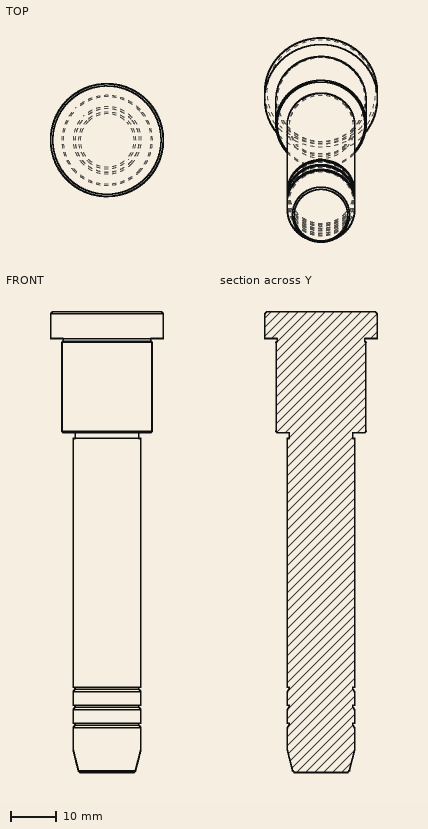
import cadquery as cq

length = 102.0
head_radius = 25.0 / 2
head_height = 6.0
edge_chamfer = 0.5

collar_radius = 10.0
collar_bottom = 75.2
undercut_depth = 0.3
undercut_height = 0.5
collar_chamfer = 0.3

shank_radius = 15.0 / 2
shank_top = 74.0
neck_radius = 7.0

taper_height = 5.0
tip_radius = 6.3
tip_chamfer = 0.4

groove_count = 3
groove_pitch = 4.0
groove_depth = 0.4
groove_floor = 0.4
groove_slope = 0.5
lowest_groove_bottom = 10.0
cutter_margin = 1.0


def cylinder(radius, bottom, top):
    return cq.Workplane("XY").workplane(offset=bottom).circle(radius).extrude(top - bottom)


def make_head():
    head = cylinder(head_radius, length - head_height, length)
    return head.faces(">Z").chamfer(edge_chamfer)


def make_collar():
    head_bottom = length - head_height
    collar_top = head_bottom - undercut_height
    undercut = cylinder(collar_radius - undercut_depth, collar_top, head_bottom)
    collar = cylinder(collar_radius, collar_bottom, collar_top)
    return collar.faces("<Z or >Z").chamfer(collar_chamfer).union(undercut)


def make_shank():
    shank = cylinder(shank_radius, taper_height, shank_top)
    neck = cylinder(neck_radius, shank_top, collar_bottom)
    return shank.union(neck)


def make_tip():
    profile = (
        cq.Workplane("XZ")
        .lineTo(tip_radius - tip_chamfer, 0)
        .lineTo(tip_radius, tip_chamfer)
        .lineTo(shank_radius, taper_height)
        .lineTo(0, taper_height)
        .close()
    )
    return profile.revolve(360, (0, 0), (0, 1))


def make_groove(bottom):
    floor_radius = shank_radius - groove_depth
    floor_bottom = bottom + groove_slope
    top = floor_bottom + groove_floor
    outside = shank_radius + cutter_margin
    section = (
        cq.Workplane("XZ")
        .moveTo(shank_radius, bottom)
        .lineTo(floor_radius, floor_bottom)
        .lineTo(floor_radius, top)
        .lineTo(outside, top)
        .lineTo(outside, bottom)
        .close()
    )
    return section.revolve(360, (0, 0), (0, 1))


result = make_head().union(make_collar()).union(make_shank()).union(make_tip())
for index in range(groove_count):
    result = result.cut(make_groove(lowest_groove_bottom + index * groove_pitch))